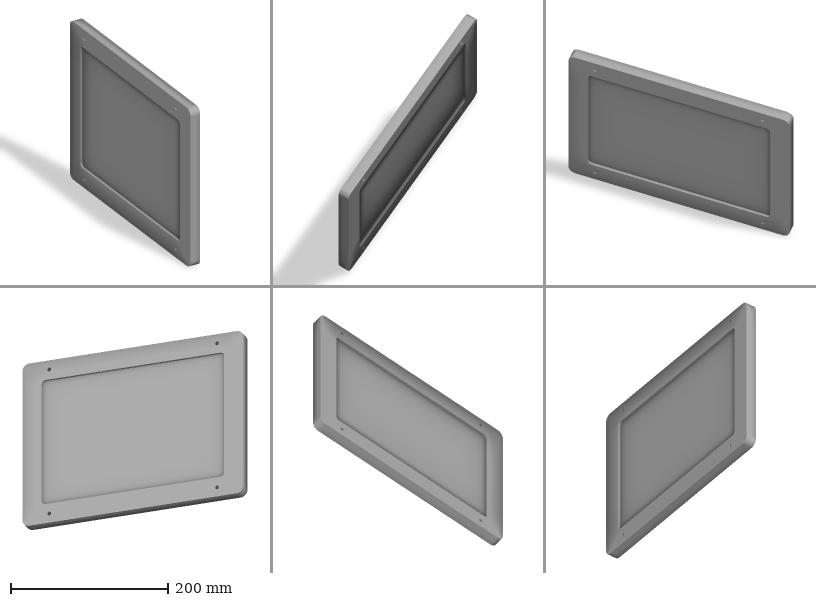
import cadquery as cq

length = 301.5
thickness = 14.5
height = 224.8
corner_radius = 9

recess_length = 249.0
recess_height = 171.8
recess_corner_radius = 5.5
recess_depth = 3.5

hole_diameter = 5.0
hole_depth = 9
hole_spacing_x = 229
hole_spacing_z = 199.5


def front_plane():
    """Sketch plane on the front face, with its normal pointing into the plate."""
    return cq.Workplane(cq.Plane(origin=(0, -thickness / 2, 0), xDir=(1, 0, 0), normal=(0, 1, 0)))


def rounded_slab(slab_length, slab_height, depth, radius):
    """Slab starting at the front face, with rounded corners."""
    return front_plane().rect(slab_length, slab_height).extrude(depth).edges("|Y").fillet(radius)


plate = rounded_slab(length, height, thickness, corner_radius)
recess = rounded_slab(recess_length, recess_height, recess_depth, recess_corner_radius)
holes = (
    front_plane()
    .rect(hole_spacing_x, hole_spacing_z, forConstruction=True)
    .vertices()
    .circle(hole_diameter / 2)
    .extrude(hole_depth)
)

result = plate.cut(recess).cut(holes)